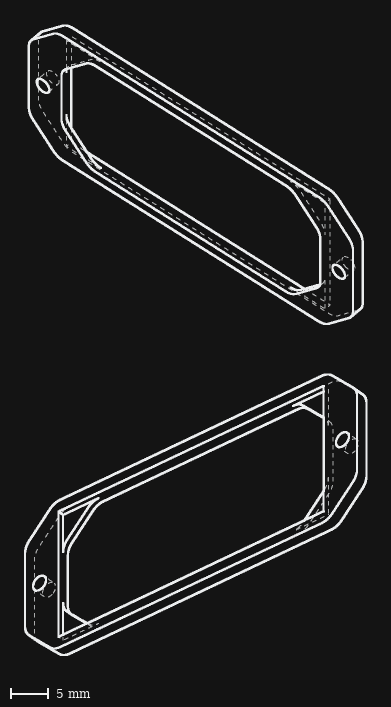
import cadquery as cq

length = 57.0
height = 24.0
thickness = 2.0
corner_chamfer = 5.0
corner_radius = 2.5

window_length = 45.5
window_height = 20.4

web_thickness = thickness / 2

hole_diameter = 2.2
hole_spacing = 52.0


def rounded_octagon(size_x, size_z):
    """Centred block along Y with chamfered corners whose edges are rounded."""
    return (
        cq.Workplane("XY")
        .box(size_x, thickness, size_z)
        .edges("|Y")
        .chamfer(corner_chamfer)
        .edges("|Y")
        .fillet(corner_radius)
    )


plate = rounded_octagon(length, height)
window = rounded_octagon(window_length, window_height)

web_relief = (
    cq.Workplane("XY")
    .box(window_length, thickness, window_height)
    .translate((0, web_thickness, 0))
)

frame = plate.cut(window).cut(web_relief)

result = (
    frame.faces("<Y")
    .workplane(origin=(0, 0, 0))
    .rarray(hole_spacing, 0.55, 2, 1)
    .hole(hole_diameter)
)